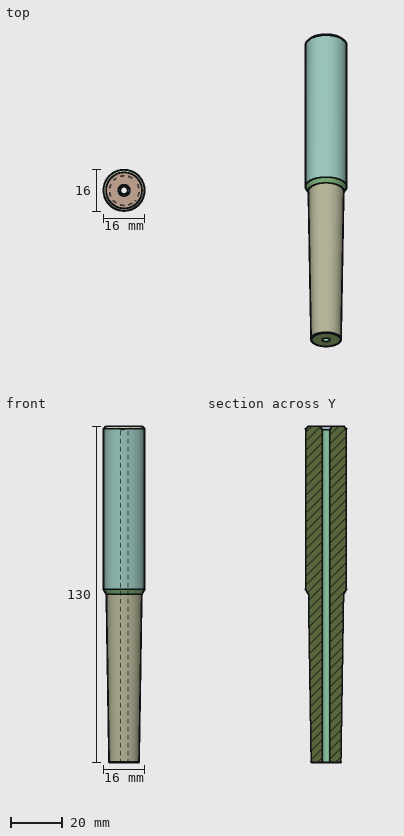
import cadquery as cq

total_length = 130.0
shank_radius = 8.0
shank_length = 65.0

top_chamfer_width = 1.0
top_chamfer_height = 1.0
shoulder_height = 2.0

taper_top_radius = 6.9
taper_bottom_radius = 5.8
tip_chamfer = 0.3

bore_radius = 1.4
countersink_radius = 2.2
countersink_depth = 1.4

shank_bottom = total_length - shank_length


def revolved_body():
    """Straight shank above a slightly tapered neck, turned about Z."""
    profile = (
        cq.Workplane("XZ")
        .moveTo(0, 0)
        .lineTo(taper_bottom_radius - tip_chamfer, 0)
        .lineTo(taper_bottom_radius, tip_chamfer)
        .lineTo(taper_top_radius, shank_bottom)
        .lineTo(shank_radius, shank_bottom + shoulder_height)
        .lineTo(shank_radius, total_length - top_chamfer_height)
        .lineTo(shank_radius - top_chamfer_width, total_length)
        .lineTo(0, total_length)
        .close()
    )
    return profile.revolve(360, (0, 0, 0), (0, 1, 0))


def bore():
    """Through bore widening to a conical countersink at the top face."""
    profile = (
        cq.Workplane("XZ")
        .moveTo(0, 0)
        .lineTo(bore_radius, 0)
        .lineTo(bore_radius, total_length - countersink_depth)
        .lineTo(countersink_radius, total_length)
        .lineTo(0, total_length)
        .close()
    )
    return profile.revolve(360, (0, 0, 0), (0, 1, 0))


result = revolved_body().cut(bore())